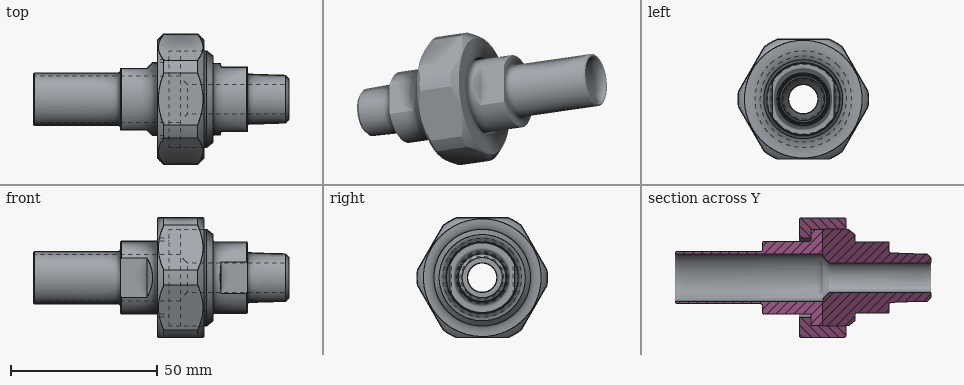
import cadquery as cq
import math


total_length = 87.5
tail_shoulder_x = 29.8
nut_start_x = 42.4
nut_length = 16.0
nut_end_x = nut_start_x + nut_length
nut_lip = 4.0
flange_length = 4.0
flange_start_x = nut_start_x + nut_lip
joint_x = flange_start_x + flange_length
thread_chamfer_x = 59.25
thread_end_x = 61.5
spigot_shoulder_x = 73.25

pipe_diameter = 18.0
pipe_bore = 16.0
pipe_end_chamfer = 0.4
pipe_bore_chamfer = 0.3
tail_collar_diameter = 25.0
tail_collar_chamfer = 0.3
tail_fillet = 0.75
tail_across_flats = 21.0
tail_flat_length = 9.0

nut_across_flats = 41.0
nut_across_corners = 44.68
nut_corner_chamfer = 2.2
nut_lip_bore = 27.0

thread_diameter = 33.1
thread_end_diameter = 29.5
threaded_collar_diameter = 24.5
threaded_collar_chamfer = 0.3
threaded_collar_fillet = 0.4
threaded_across_flats = 22.0
threaded_flat_length = 9.0
threaded_flat_end_angle = 15.0
spigot_base_diameter = 17.15
spigot_taper = 1 / 16
spigot_fillet = 0.5
spigot_end_chamfer = 1.3
through_bore = 10.0
countersink_diameter = 14.6

AXIS_START = (0, 0, 0)
AXIS_END = (1, 0, 0)
HEX_HALF_ANGLE = math.radians(30)


def revolve_about_x(profile):
    """Revolve a closed XY outline a full turn about the X axis."""
    return profile.close().revolve(360, AXIS_START, AXIS_END)


def cylinder_along_x(diameter, start_x, end_x):
    return cq.Workplane("YZ", origin=(start_x, 0, 0)).circle(diameter / 2).extrude(end_x - start_x)


def cut_wrench_flats(body, flat_outline, width):
    """Cut the flat outlined on the +Y side, and its mirror image on the -Y side."""
    cutter = flat_outline.close().extrude(width / 2, both=True)
    return body.cut(cutter).cut(cutter.mirror("XZ"))


def concave_fillet(profile, center_x, center_y, radius, start_angle, end_angle):
    """Continue the profile with an arc to the given end angle (degrees) about the fillet centre."""
    def point(angle):
        turn = math.radians(angle)
        return (center_x + radius * math.cos(turn), center_y + radius * math.sin(turn))

    return profile.threePointArc(point((start_angle + end_angle) / 2), point(end_angle))


def make_pipe_tail():
    pipe_r = pipe_diameter / 2
    bore_r = pipe_bore / 2
    collar_r = tail_collar_diameter / 2
    flange_r = thread_diameter / 2

    profile = (
        cq.Workplane("XY")
        .moveTo(pipe_bore_chamfer, bore_r)
        .lineTo(0, bore_r + pipe_bore_chamfer)
        .lineTo(0, pipe_r - pipe_end_chamfer)
        .lineTo(pipe_end_chamfer, pipe_r)
        .lineTo(tail_shoulder_x - tail_fillet, pipe_r)
    )
    profile = concave_fillet(
        profile, tail_shoulder_x - tail_fillet, pipe_r + tail_fillet, tail_fillet, -90, 0
    )
    profile = (
        profile.lineTo(tail_shoulder_x, collar_r - tail_collar_chamfer)
        .lineTo(tail_shoulder_x + tail_collar_chamfer, collar_r)
        .lineTo(flange_start_x - tail_fillet, collar_r)
    )
    profile = concave_fillet(
        profile, flange_start_x - tail_fillet, collar_r + tail_fillet, tail_fillet, -90, 0
    )
    profile = profile.lineTo(flange_start_x, flange_r).lineTo(joint_x, flange_r).lineTo(joint_x, bore_r)
    body = revolve_about_x(profile)

    flat_y = tail_across_flats / 2
    flat_end_x = tail_shoulder_x + tail_flat_length
    runout = collar_r - flat_y
    flat_outline = (
        cq.Workplane("XY")
        .moveTo(tail_shoulder_x, flat_y)
        .lineTo(flat_end_x, flat_y)
        .lineTo(flat_end_x + runout, collar_r)
        .lineTo(tail_shoulder_x, collar_r)
    )
    return cut_wrench_flats(body, flat_outline, tail_collar_diameter)


def make_nut():
    hexagon = (
        cq.Workplane("YZ", origin=(nut_start_x, 0, 0))
        .polygon(6, nut_across_flats / math.cos(HEX_HALF_ANGLE))
        .extrude(nut_length)
    )
    corner_envelope = (
        cylinder_along_x(nut_across_corners, nut_start_x, nut_end_x)
        .faces("<X or >X")
        .chamfer(nut_corner_chamfer)
    )
    lip_hole = cylinder_along_x(nut_lip_bore, nut_start_x, nut_end_x)
    thread_hole = cylinder_along_x(thread_diameter, flange_start_x, nut_end_x)
    return hexagon.intersect(corner_envelope).cut(lip_hole).cut(thread_hole)


def make_threaded_tail():
    bore_r = through_bore / 2
    countersink_r = countersink_diameter / 2
    thread_r = thread_diameter / 2
    collar_r = threaded_collar_diameter / 2
    spigot_base_r = spigot_base_diameter / 2
    spigot_length = total_length - spigot_shoulder_x
    spigot_tip_r = spigot_base_r - (spigot_length - spigot_end_chamfer) * spigot_taper / 2

    profile = (
        cq.Workplane("XY")
        .moveTo(joint_x, countersink_r)
        .lineTo(joint_x, thread_r)
        .lineTo(thread_chamfer_x, thread_r)
        .lineTo(thread_end_x, thread_end_diameter / 2)
        .lineTo(thread_end_x, collar_r + threaded_collar_fillet)
    )
    profile = concave_fillet(
        profile,
        thread_end_x + threaded_collar_fillet,
        collar_r + threaded_collar_fillet,
        threaded_collar_fillet,
        180,
        270,
    )
    profile = (
        profile.lineTo(spigot_shoulder_x - threaded_collar_chamfer, collar_r)
        .lineTo(spigot_shoulder_x, collar_r - threaded_collar_chamfer)
        .lineTo(spigot_shoulder_x, spigot_base_r + spigot_fillet)
    )
    profile = concave_fillet(
        profile, spigot_shoulder_x + spigot_fillet, spigot_base_r + spigot_fillet, spigot_fillet, 180, 270
    )
    profile = (
        profile.lineTo(total_length - spigot_end_chamfer, spigot_tip_r)
        .lineTo(total_length, spigot_tip_r - spigot_end_chamfer)
        .lineTo(total_length, bore_r)
        .lineTo(joint_x + countersink_r - bore_r, bore_r)
    )
    body = revolve_about_x(profile)

    flat_y = threaded_across_flats / 2
    flat_start_x = spigot_shoulder_x - threaded_flat_length
    slope_run = (collar_r - flat_y) * math.tan(math.radians(threaded_flat_end_angle))
    flat_outline = (
        cq.Workplane("XY")
        .moveTo(flat_start_x, flat_y)
        .lineTo(spigot_shoulder_x, flat_y)
        .lineTo(spigot_shoulder_x, collar_r)
        .lineTo(flat_start_x - slope_run, collar_r)
    )
    return cut_wrench_flats(body, flat_outline, threaded_collar_diameter)


pipe_tail = make_pipe_tail()
nut = make_nut()
threaded_tail = make_threaded_tail()

result = cq.Compound.makeCompound([pipe_tail.val(), nut.val(), threaded_tail.val()])